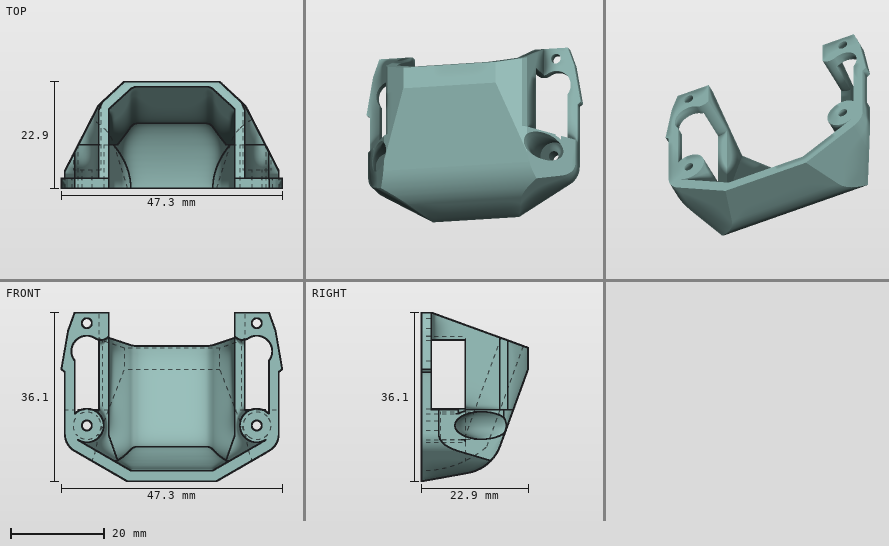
import cadquery as cq
import math


height = 36.13
depth = 22.85
wall = 2.15
half_width = 22.9
bottom_half_width = 9.5
bottom_slope = 30.0
corner_radius = 4.2
notch_z = 23.4
ear_tip_x = 23.64
ear_tip_z = 24.0
ear_shoulder_x = 22.2
ear_shoulder_z = 32.25
ear_top_x = 20.8

flank_depth = 3.7
side_back_x = 15.75
side_back_y = 17.65
back_half_width = 10.2
shelf_z = 15.3
bevel_start_y = 16.8
bevel_end_x = 14.85
bevel_end_y = 18.5

tilt = 20.0
back_bottom_z = 24.05
underside_slope = 10.2
heel_radius = 9.2

opening_half_width = 13.46
cavity_profile_z = 28.96
cavity_side_y = 16.33
cavity_back_y = 21.72
cavity_back_half_width = 8.27
cavity_back_radius = 2.0
floor_z = 2.32
floor_radius = 21.4

pocket_depth = 9.36
pocket_half_width = half_width - wall
pocket_floor_half_width = 8.76
window_top_z = 30.25
keyhole_z = 27.86
keyhole_radius = 3.28
bump_x = 15.18
bump_radius = 2.25

screw_x = 18.17
screw_hole_radius = 1.05
upper_screw_z = 33.85
boss_z = 11.97
boss_radius = 3.6
counterbore_radius = 2.95
counterbore_floor_y = 4.0

bump_z = window_top_z + bump_radius
hood_half_width = opening_half_width + wall
tilt_slope = math.tan(math.radians(tilt))
bottom_rise = math.tan(math.radians(bottom_slope))
corner_z = (half_width - bottom_half_width) * bottom_rise
pocket_corner_z = floor_z + (pocket_half_width - pocket_floor_half_width) * bottom_rise
clearance = 5.0


def mirrored(points):
    """Close a right-hand (X > 0) outline with its mirror image."""
    return points + [(-x, y) for x, y in reversed(points)]


def along_y(points, y_start, y_end):
    """Prism between two Y positions from an (X, Z) outline."""
    prism = cq.Workplane("XZ").polyline(points).close().extrude(-(y_end - y_start))
    return prism.translate((0, y_start, 0))


def along_z(points, z_start, z_end):
    """Prism between two Z levels from an (X, Y) outline."""
    return cq.Workplane("XY", origin=(0, 0, z_start)).polyline(points).close().extrude(z_end - z_start)


def rod(x, z, radius, y_start, y_end):
    """Cylinder along Y at an (X, Z) centre."""
    return cq.Workplane("XZ", origin=(0, y_start, 0)).center(x, z).circle(radius).extrude(y_start - y_end)


def round_lower_corners(body, x, z, radius):
    """Fillet the two edges along Y at (-x, z) and (x, z)."""
    for side in (-1, 1):
        corner = cq.selectors.NearestToPointSelector((side * x, body.val().Center().y, z))
        body = body.edges("|Y").edges(corner).fillet(radius)
    return body


def plate():
    """Flat mounting plate with an ear on each side."""
    outline = [
        (bottom_half_width, 0),
        (half_width, corner_z),
        (half_width, notch_z),
        (ear_tip_x, ear_tip_z),
        (ear_shoulder_x, ear_shoulder_z),
        (ear_top_x, height),
    ]
    return round_lower_corners(along_y(mirrored(outline), 0, wall), half_width, corner_z, corner_radius)


def side_profile():
    """Region under the roof and in front of the slanted back, with the heel rounded."""
    underside_rise = math.tan(math.radians(underside_slope))
    roof_back_z = height - (depth - wall) * tilt_slope
    heel_y = (depth - back_bottom_z * tilt_slope) / (1 - underside_rise * tilt_slope)
    heel_z = heel_y * underside_rise
    outline = [
        (0, 0),
        (heel_y, heel_z),
        (depth, back_bottom_z),
        (depth, roof_back_z),
        (wall, height),
        (0, height),
    ]
    profile = cq.Workplane("YZ").polyline(outline).close().extrude(half_width + clearance, both=True)
    heel = cq.selectors.NearestToPointSelector((0, heel_y, heel_z))
    return profile.edges("|X").edges(heel).fillet(heel_radius)


def tapered_casing(top_z):
    """Casing envelope seen along Z, before the upper sides are stepped in."""
    outline = [
        (half_width, 0),
        (half_width, flank_depth),
        (side_back_x, side_back_y),
        (back_half_width, depth),
    ]
    return along_z(mirrored(outline), 0, top_z)


def casing():
    """Tapered lower casing with the narrower hood standing on its shelf."""
    hood_outline = [
        (hood_half_width, 0),
        (hood_half_width, bevel_start_y),
        (bevel_end_x, bevel_end_y),
        (back_half_width, depth),
    ]
    front_outline = [(bottom_half_width, 0), (half_width, corner_z), (half_width, height)]
    lower = tapered_casing(shelf_z)
    hood = along_z(mirrored(hood_outline), shelf_z, height)
    front = along_y(mirrored(front_outline), 0, depth)
    front = round_lower_corners(front, half_width, corner_z, corner_radius)
    return lower.union(hood).intersect(front)


def hood_cavity():
    """Profile swept from above the roof to below the floor, parallel to the slanted back."""
    outline = [
        (opening_half_width, -depth),
        (opening_half_width, cavity_side_y),
        (cavity_back_half_width, cavity_back_y),
    ]
    rise = height - cavity_profile_z + clearance
    drop = height + 2 * clearance
    wire = cq.Workplane("XY").polyline(mirrored(outline)).close().wires().val()
    wire = wire.translate(cq.Vector(0, rise * tilt_slope, cavity_profile_z + rise))
    sweep = cq.Solid.extrudeLinear(wire, [], cq.Vector(0, -drop * tilt_slope, -drop))
    cavity = cq.Workplane(obj=sweep)
    middle_offset = rise - drop / 2
    middle_y = cavity_back_y + middle_offset * tilt_slope
    middle_z = cavity_profile_z + middle_offset
    for side in (-1, 1):
        corner = cq.selectors.NearestToPointSelector((side * cavity_back_half_width, middle_y, middle_z))
        cavity = cavity.edges(corner).fillet(cavity_back_radius)
    return cavity


def pocket_prism(y_end, top_z):
    """Space above the V-shaped floor sides and between the outer walls, with rounded lower corners."""
    outline = [
        (pocket_floor_half_width, floor_z),
        (pocket_half_width, pocket_corner_z),
        (pocket_half_width, top_z),
    ]
    prism = along_y(mirrored(outline), 0, y_end)
    return round_lower_corners(prism, pocket_half_width, pocket_corner_z, corner_radius - wall)


def above_floor():
    """Space above the curved floor, which starts level at the mounting face and curves up to the back."""
    half_sweep = math.pi / 4
    arc_middle_y = floor_radius * math.sin(half_sweep)
    arc_middle_z = floor_z + floor_radius * (1 - math.cos(half_sweep))
    return (
        cq.Workplane("YZ")
        .moveTo(0, floor_z)
        .threePointArc((arc_middle_y, arc_middle_z), (floor_radius, floor_z + floor_radius))
        .lineTo(depth, floor_z + floor_radius)
        .lineTo(depth, height + clearance)
        .lineTo(0, height + clearance)
        .close()
        .extrude(half_width, both=True)
    )


def front_pocket():
    """Pocket behind the plate, opening the side windows and the keyhole slots under rounded upper tabs."""
    opening = pocket_prism(pocket_depth, keyhole_z)
    blend = keyhole_radius / (keyhole_radius + bump_radius)
    blend_x = screw_x + (bump_x - screw_x) * blend
    blend_z = keyhole_z + (bump_z - keyhole_z) * blend
    for side in (-1, 1):
        neck = [
            (side * opening_half_width, keyhole_z),
            (side * screw_x, keyhole_z),
            (side * blend_x, blend_z),
            (side * bump_x, bump_z),
            (side * opening_half_width, bump_z),
        ]
        bump = rod(side * bump_x, bump_z, bump_radius, 0, pocket_depth)
        opening = opening.union(along_y(neck, 0, pocket_depth).cut(bump))
        opening = opening.union(rod(side * screw_x, keyhole_z, keyhole_radius, 0, pocket_depth))
    return opening


def add_bosses(body):
    """Screw bosses counterbored from the back, and the lower and upper screw holes."""
    for side in (-1, 1):
        boss = rod(side * screw_x, boss_z, boss_radius, 0, pocket_depth)
        body = body.union(boss.intersect(tapered_casing(height)))
    for side in (-1, 1):
        body = body.cut(rod(side * screw_x, boss_z, counterbore_radius, counterbore_floor_y, depth))
        for z in (boss_z, upper_screw_z):
            body = body.cut(rod(side * screw_x, z, screw_hole_radius, 0, pocket_depth))
    return body


shell = plate().union(casing()).intersect(side_profile())
cavity = hood_cavity().intersect(pocket_prism(depth, height + clearance))
cavity = cavity.union(front_pocket())
shell = shell.cut(cavity.intersect(above_floor()))
result = add_bosses(shell)